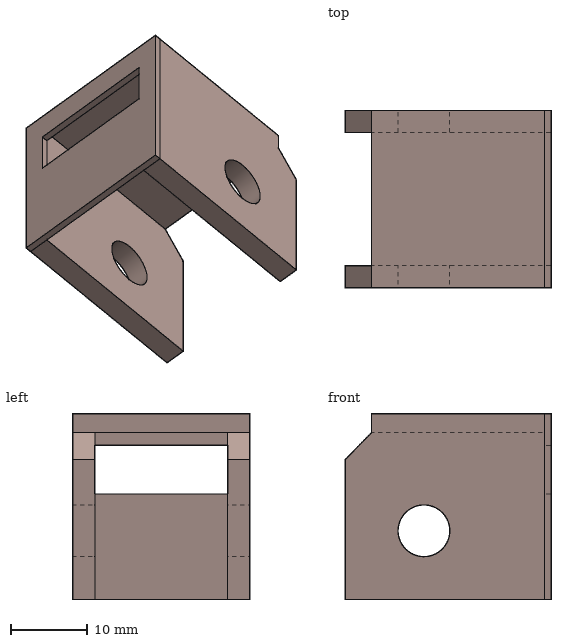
import cadquery as cq

length = 27.0
width = 23.25
height = 24.37

back_thickness = 0.86
wall_thickness = 2.91
roof_thickness = 2.5
nose_length = 3.43
nose_height = 18.35
hole_diameter = 6.75
hole_x = 10.3
hole_z = 9.01

window_bottom = 13.85
window_top = 20.2

bracket_length = length - back_thickness
roof_underside = height - roof_thickness
inner_width = width - 2 * wall_thickness


def make_bracket():
    """Side profile extruded over the full width, hollowed between the walls."""
    profile = [
        (0, 0),
        (bracket_length, 0),
        (bracket_length, height),
        (nose_length, height),
        (nose_length, roof_underside),
        (0, nose_height),
    ]
    body = cq.Workplane("XZ").polyline(profile).close().extrude(-width)
    hollow = cq.Workplane("XY").box(
        bracket_length, inner_width, roof_underside, centered=False
    ).translate((0, wall_thickness, 0))
    pin_hole = (
        cq.Workplane("XZ")
        .center(hole_x, hole_z)
        .circle(hole_diameter / 2)
        .extrude(-width)
    )
    return body.cut(hollow).cut(pin_hole)


def make_back_plate():
    """Flat plate closing the rear of the bracket, with a rectangular window."""
    plate = cq.Workplane("XY").box(back_thickness, width, height, centered=False)
    window = cq.Workplane("XY").box(
        back_thickness, inner_width, window_top - window_bottom, centered=False
    ).translate((0, wall_thickness, window_bottom))
    return plate.cut(window).translate((bracket_length, 0, 0))


bracket = make_bracket()
back_plate = make_back_plate()

result = cq.Compound.makeCompound([bracket.val(), back_plate.val()])